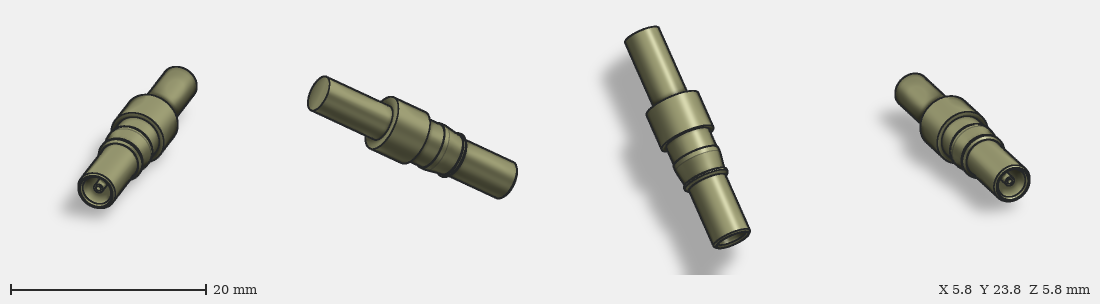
import cadquery as cq

total_length = 23.8
mouth_y = -total_length / 2
cable_end_y = total_length / 2

cable_tube_diameter = 3.8
cable_tube_length = 8.0
collar_diameter = 5.8
collar_length = 4.0

neck_diameter = 4.8
neck_length = 2.15
band_diameter = 5.0
band_length = 0.55
taper_end_diameter = 4.4
taper_length = 1.95

flange_diameter = 4.8
flange_land_length = 0.25
flange_bevel = 0.3

contact_tube_diameter = 4.1
mouth_chamfer = 0.2
bore_diameter = 3.1
lead_in_diameter = 3.5
lead_in_length = 0.25

pin_diameter = 1.0
pin_recess = 0.7
pin_hole_diameter = 0.55
pin_hole_depth = 2.0

collar_back_y = cable_end_y - cable_tube_length
collar_front_y = collar_back_y - collar_length
band_back_y = collar_front_y - neck_length
band_front_y = band_back_y - band_length
flange_back_y = band_front_y - taper_length
flange_land_front_y = flange_back_y - flange_land_length
flange_front_y = flange_land_front_y - flange_bevel

bore_floor_y = flange_front_y


def turned(profile):
    """Revolve a closed (diameter, y) profile about the Y axis."""
    points = [(y, diameter / 2) for diameter, y in profile]
    return cq.Workplane("YZ").polyline(points).close().revolve(360, (0, 0), (1, 0))


def outer_body():
    return turned([
        (0, cable_end_y),
        (cable_tube_diameter, cable_end_y),
        (cable_tube_diameter, collar_back_y),
        (collar_diameter, collar_back_y),
        (collar_diameter, collar_front_y),
        (neck_diameter, collar_front_y),
        (neck_diameter, band_back_y),
        (band_diameter, band_back_y),
        (band_diameter, band_front_y),
        (taper_end_diameter, flange_back_y),
        (flange_diameter, flange_back_y),
        (flange_diameter, flange_land_front_y),
        (flange_diameter - 2 * flange_bevel, flange_front_y),
        (contact_tube_diameter, flange_front_y),
        (contact_tube_diameter, mouth_y + mouth_chamfer),
        (contact_tube_diameter - 2 * mouth_chamfer, mouth_y),
        (0, mouth_y),
    ])


def bore():
    return turned([
        (0, mouth_y),
        (lead_in_diameter, mouth_y),
        (bore_diameter, mouth_y + lead_in_length),
        (bore_diameter, bore_floor_y),
        (0, bore_floor_y),
    ])


def centre_pin():
    pin_tip_y = mouth_y + pin_recess
    hole_floor_y = pin_tip_y + pin_hole_depth
    return turned([
        (0, bore_floor_y),
        (pin_diameter, bore_floor_y),
        (pin_diameter, pin_tip_y),
        (pin_hole_diameter, pin_tip_y),
        (pin_hole_diameter, hole_floor_y),
        (0, hole_floor_y),
    ])


result = outer_body().cut(bore()).union(centre_pin())